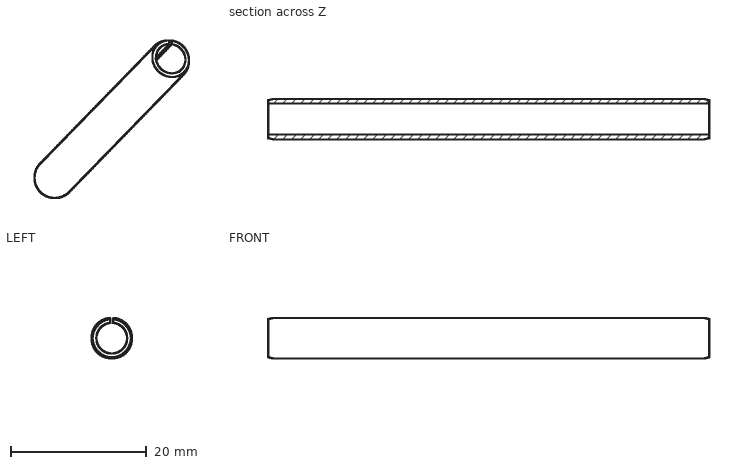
import math

import cadquery as cq

length = 65.0
outer_diameter = 6.0
bore_diameter = 4.5
slit_angle = 9.0

taper_length = 0.7
taper_angle = 15.0

outer_radius = outer_diameter / 2
bore_radius = bore_diameter / 2
end_radius = outer_radius - taper_length * math.tan(math.radians(taper_angle))
wall_sweep_angle = 360 - slit_angle


def make_pin():
    """Wall section with tapered ends, swept about the X axis from one slit wall to the other."""
    wall_profile = [
        (0, bore_radius),
        (0, end_radius),
        (taper_length, outer_radius),
        (length - taper_length, outer_radius),
        (length, end_radius),
        (length, bore_radius),
    ]
    slit_wall_plane = cq.Workplane("XZ").transformed(rotate=(slit_angle / 2, 0, 0))
    axis_start = (0, 0, 0)
    axis_end = (1, 0, 0)
    return slit_wall_plane.polyline(wall_profile).close().revolve(wall_sweep_angle, axis_start, axis_end)


result = make_pin()